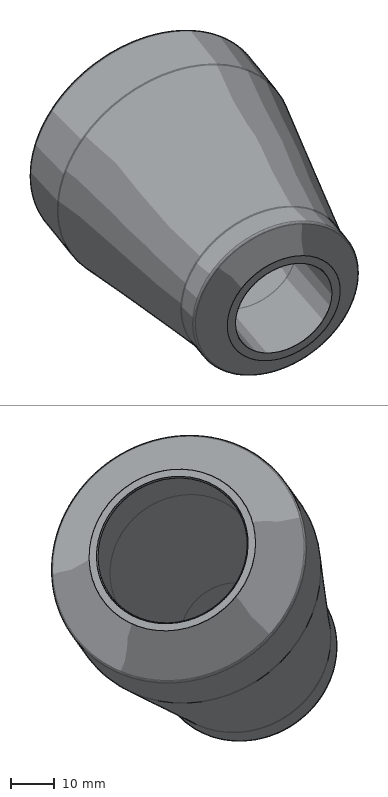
import cadquery as cq
import math

length = 76.0
large_diameter = 60.3
small_diameter = 42.5

bevel_angle = 60.0
large_face_diameter = 39.4
small_face_diameter = 29.0
edge_radius = 0.75

cone_start = 20.3
cone_end = 65.8
cone_blend_radius = 1.5

large_bore_diameter = 35.3
small_bore_diameter = 24.8
large_bore_depth = 11.7
bore_entry_chamfer = 0.3
small_bore_length = 18.25

large_radius = large_diameter / 2
small_radius = small_diameter / 2
large_face_radius = large_face_diameter / 2
small_face_radius = small_face_diameter / 2


def bevel_length(outer_radius, face_radius):
    """Axial length of an end bevel."""
    return (outer_radius - face_radius) / math.tan(math.radians(bevel_angle))


def revolve_profile(points):
    """Revolve a closed (x, radius) outline around the X axis."""
    return cq.Workplane("XZ").polyline(points).close().revolve(360, (0, 0, 0), (1, 0, 0))


def circles_at(body, positions):
    """Circular edges of the body centred at the given places along X."""
    edges = body.edges("%CIRCLE")
    return edges.filter(lambda edge: any(abs(edge.Center().x - x) < 0.01 for x in positions))


large_shoulder = bevel_length(large_radius, large_face_radius)
small_shoulder = length - bevel_length(small_radius, small_face_radius)
body = revolve_profile([
    (0, 0),
    (0, large_face_radius),
    (large_shoulder, large_radius),
    (cone_start, large_radius),
    (cone_end, small_radius),
    (small_shoulder, small_radius),
    (length, small_face_radius),
    (length, 0),
])
body = circles_at(body, [large_shoulder, small_shoulder]).fillet(edge_radius)
body = circles_at(body, [cone_start, cone_end]).fillet(cone_blend_radius)

bore = revolve_profile([
    (0, 0),
    (0, large_bore_diameter / 2 + bore_entry_chamfer),
    (bore_entry_chamfer, large_bore_diameter / 2),
    (large_bore_depth, large_bore_diameter / 2),
    (length - small_bore_length, small_bore_diameter / 2),
    (length, small_bore_diameter / 2),
    (length, 0),
])

result = body.cut(bore)